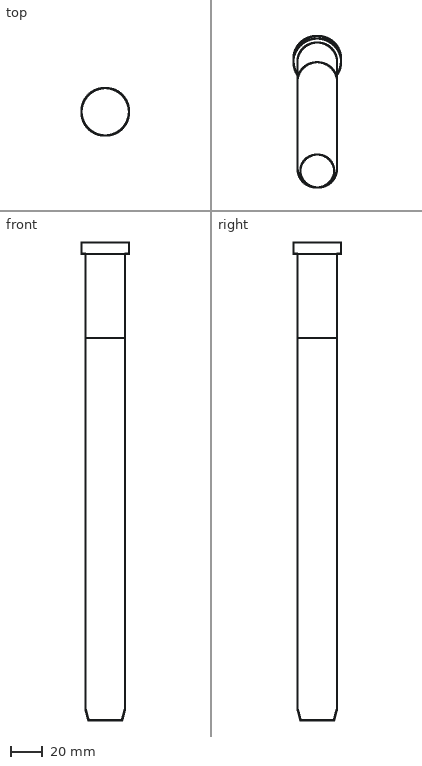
import cadquery as cq
import math

total_length = 300.0
head_diameter = 30.0
head_thickness = 7.2
shank_diameter = 25.0
upper_length = 60.0
taper_length = 7.0
taper_angle = 15.0

top_z = total_length / 2
bottom_z = -total_length / 2
joint_z = top_z - upper_length
shank_radius = shank_diameter / 2
tip_radius = shank_radius - taper_length * math.tan(math.radians(taper_angle))


def make_headed_section():
    """Upper body: a plain shank section under a wider flat head."""
    shank = (
        cq.Workplane("XY", origin=(0, 0, joint_z))
        .circle(shank_radius)
        .extrude(upper_length - head_thickness)
    )
    head = (
        cq.Workplane("XY", origin=(0, 0, top_z - head_thickness))
        .circle(head_diameter / 2)
        .extrude(head_thickness)
    )
    return shank.union(head)


def make_guide_section():
    """Lower body: a long cylinder with a tapered lead-in at its bottom end."""
    return (
        cq.Workplane("XZ")
        .moveTo(0, bottom_z)
        .lineTo(tip_radius, bottom_z)
        .lineTo(shank_radius, bottom_z + taper_length)
        .lineTo(shank_radius, joint_z)
        .lineTo(0, joint_z)
        .close()
        .revolve(360, (0, 0, 0), (0, 1, 0))
    )


headed_section = make_headed_section()
guide_section = make_guide_section()

result = cq.Compound.makeCompound([headed_section.val(), guide_section.val()])